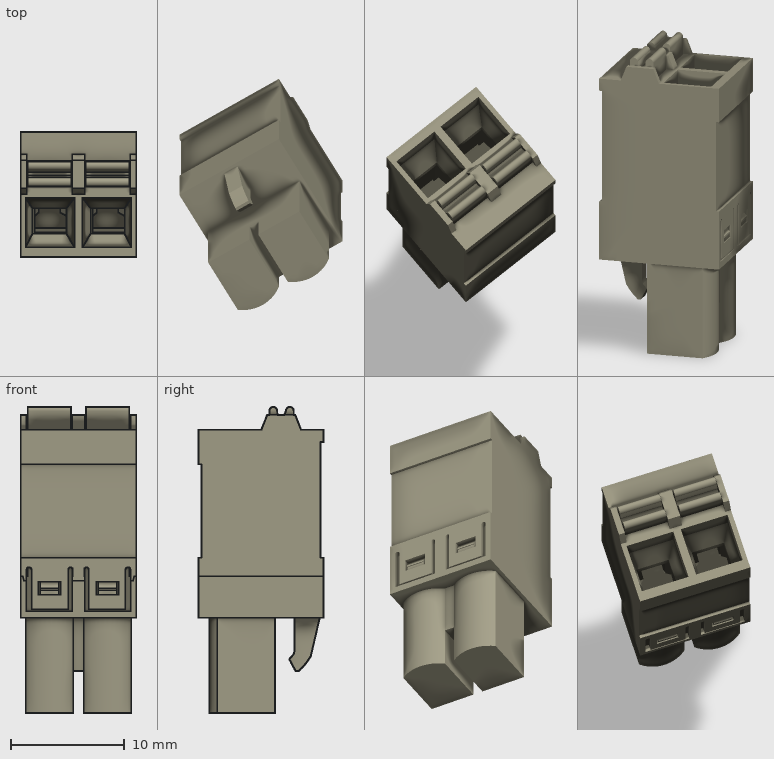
import cadquery as cq


WIDTH = 10.17
POLE_OFFSET = 2.55
POLE_CENTERS = (-POLE_OFFSET, POLE_OFFSET)

HOUSING_BOTTOM = 8.37
LIP_BOTTOM = 11.63
PARTING = 12.03
BAND_TOP = 13.67
FRONT_RIM_BOTTOM = 21.85
REAR_RIM_BOTTOM = 23.82
HOUSING_TOP = 24.92
RIDGE_TOP = 26.2
BUTTON_TOP = 26.9

DEPTH = 11.0
FRONT = -DEPTH / 2
REAR = DEPTH / 2
WAIST_INSET = 0.27

RIDGE_FOOT_FRONT = 0.03
RIDGE_FOOT_REAR = 3.53
RIDGE_CREST_FRONT = 0.55
RIDGE_CREST_REAR = 3.01

BUTTON_WIDTH = 3.82
BUTTON_FRONT = 0.73
BUTTON_REAR = 2.88
BUTTON_BOTTOM = 20.45
BUTTON_GAP = 0.08
WELL_FRONT = 0.7
WELL_REAR = 3.0
BUMP_WIDTH = 0.7
BUMP_RADIUS = BUMP_WIDTH / 2
GROOVE_BOTTOM = 25.75
GROOVE_LEDGE_WIDTH = 0.2
GROOVE_LEDGE_Z = 25.78
GROOVE_FRONT_RUN = 0.08
GROOVE_WALL_RUN = 0.22
GROOVE_WALL_BOTTOM = 26.0

ENTRY_OFFSET = 2.5
ENTRY_WIDTH = 4.3
ENTRY_FRONT = -4.65
ENTRY_REAR = -0.3
ENTRY_STRAIGHT = 2.42
FUNNEL_DEPTH = 2.55
THROAT_WIDTH = 3.0
THROAT_FRONT = -3.45
THROAT_REAR = -1.2

CHAMBER_TOP = 19.1
CHAMBER_WIDTH = 3.23
CHAMBER_FRONT = -3.77
CHAMBER_REAR = 0.27

LIP_TOP_WIDTH = 9.8
LIP_BOTTOM_WIDTH = 9.58

TAB_OFFSET = 2.5
TAB_WIDTH = 3.23
TAB_THICKNESS = 0.55
TAB_BOTTOM = 9.12
SLOT_TOP = 12.8
NOTCH_BOTTOM = 8.95
NOTCH_WIDTH = 4.04
BACKING_WIDTH = 3.95
BACKING_THICKNESS = 0.4
BACKING_TOP = 13.08
WINDOW_WIDTH = 2.0
WINDOW_BOTTOM = 10.4
WINDOW_TOP = 11.55

CATCH_WIDTH = 1.65
CATCH_RIB = 0.43
CATCH_REACH = 0.5
CATCH_SLOPE_BOTTOM = 10.95
CATCH_BOTTOM = 10.8

STUD_WIDTH = 4.2
STUD_REAR = 1.25
STUD_SIDE_FRONT = -3.85
STUD_NOSE = -4.57
WEB_BOTTOM = 3.7
LATCH_WIDTH = 1.35
LATCH_REAR_ROOT = 5.17
LATCH_FRONT_FACE = 2.93
LATCH_BACK_START = (4.39, 5.0)
LATCH_BACK_MIDDLE = (3.9, 4.3)
LATCH_TIP_REAR = 3.3
LATCH_TIP_FRONT = 3.05
LATCH_BARB = (2.48, 4.74)
LATCH_THROAT = (2.85, 5.17)
LATCH_THROAT_MIDDLE = (2.9, 5.33)
LATCH_THROAT_TOP = 5.55

CLAMP_LEFT = 1.3
CLAMP_RIGHT = 1.5

CONTACT_FLOOR = 0.32
CONTACT_STOP_TOP = 14.0
CONTACT_STOP_REAR = -2.95
CONTACT_CHAMFER = 0.35

SPRING_THICKNESS = 0.22
SPRING_TOP = 18.57
SPRING_TIP_Y = -2.93
SPRING_TIP_Z = 16.95
SPRING_NECK_WIDTH = 1.88
NECK_END = -1.6
SHOULDER_END = -1.88


def box(x_range, y_range, z_range):
    """A block spanning the given ranges."""
    size = [high - low for low, high in (x_range, y_range, z_range)]
    corner = (x_range[0], y_range[0], z_range[0])
    return cq.Workplane("XY").box(*size, centered=False).translate(corner)


def pole_box(center, width, y_range, z_range):
    """A block centred on X = center."""
    return box((center - width / 2, center + width / 2), y_range, z_range)


def extrude_along_x(outline, x_low, x_high):
    """Extrude a closed YZ outline between two X positions."""
    return outline.extrude(x_high - x_low).translate((x_low, 0, 0))


def yz_polygon(points):
    """A closed straight-sided YZ outline."""
    return cq.Workplane("YZ").polyline(points).close()


def lip_block():
    """The tapered lip along the parting plane, running front to rear."""
    points = [
        (-LIP_TOP_WIDTH / 2, PARTING),
        (-LIP_BOTTOM_WIDTH / 2, LIP_BOTTOM),
        (LIP_BOTTOM_WIDTH / 2, LIP_BOTTOM),
        (LIP_TOP_WIDTH / 2, PARTING),
    ]
    lip = cq.Workplane("XZ").polyline(points).close().extrude(DEPTH)
    return lip.translate((0, REAR, 0))


def wire_entry(side):
    """Straight square mouth, funnel, throat and clamp chamber of one pole."""
    mouth_center = side * ENTRY_OFFSET
    throat_center = side * POLE_OFFSET
    funnel_top = HOUSING_TOP - ENTRY_STRAIGHT
    funnel_bottom = funnel_top - FUNNEL_DEPTH
    mouth_y = (ENTRY_FRONT, ENTRY_REAR)
    throat_y = (THROAT_FRONT, THROAT_REAR)
    mouth = pole_box(mouth_center, ENTRY_WIDTH, mouth_y, (funnel_top, HOUSING_TOP))
    funnel = (
        cq.Workplane("XY", origin=(0, 0, funnel_top))
        .center(mouth_center, sum(mouth_y) / 2)
        .rect(ENTRY_WIDTH, ENTRY_REAR - ENTRY_FRONT)
        .workplane(offset=-FUNNEL_DEPTH)
        .center(throat_center - mouth_center, (sum(throat_y) - sum(mouth_y)) / 2)
        .rect(THROAT_WIDTH, THROAT_REAR - THROAT_FRONT)
        .loft(ruled=True)
    )
    throat = pole_box(throat_center, THROAT_WIDTH, throat_y, (CHAMBER_TOP, funnel_bottom))
    chamber_y = (CHAMBER_FRONT, CHAMBER_REAR)
    chamber = pole_box(throat_center, CHAMBER_WIDTH, chamber_y, (LIP_BOTTOM, CHAMBER_TOP))
    return mouth.union(funnel).union(throat).union(chamber)


def button_well(center):
    """Well for one button, open through the ridge over its whole depth."""
    width = BUTTON_WIDTH + 2 * BUTTON_GAP
    well = pole_box(center, width, (WELL_FRONT, WELL_REAR), (BUTTON_BOTTOM, RIDGE_TOP))
    ridge_y = (RIDGE_FOOT_FRONT, RIDGE_FOOT_REAR)
    return well.union(pole_box(center, width, ridge_y, (HOUSING_TOP, RIDGE_TOP)))


def tab(side):
    """Tongue hanging from the upper housing, with a window for its catch."""
    center = side * TAB_OFFSET
    tab_y = (FRONT, FRONT + TAB_THICKNESS)
    tongue = pole_box(center, TAB_WIDTH, tab_y, (TAB_BOTTOM, LIP_BOTTOM))
    window = pole_box(side * POLE_OFFSET, WINDOW_WIDTH, tab_y, (WINDOW_BOTTOM, WINDOW_TOP))
    return tongue.cut(window)


def tab_slots(side):
    """Round-topped slots beside one tab, reaching from the notch edges to the tab."""
    slots = cq.Workplane("XY")
    slot_y = (FRONT, FRONT + TAB_THICKNESS)
    for edge in (-1, 1):
        tab_edge = side * TAB_OFFSET + edge * TAB_WIDTH / 2
        notch_edge = side * POLE_OFFSET + edge * NOTCH_WIDTH / 2
        width = abs(notch_edge - tab_edge)
        center = (notch_edge + tab_edge) / 2
        arc_center = SLOT_TOP - width / 2
        straight = pole_box(center, width, slot_y, (LIP_BOTTOM, arc_center))
        end = (
            cq.Workplane("XZ", origin=(center, FRONT, arc_center))
            .circle(width / 2)
            .extrude(-TAB_THICKNESS)
        )
        slots = slots.union(straight).union(end)
    return slots


def tab_backing(side):
    """Plate of the lower housing that rises behind one tab into the upper housing."""
    plate_front = FRONT + TAB_THICKNESS
    plate_y = (plate_front, plate_front + BACKING_THICKNESS)
    lower = pole_box(side * POLE_OFFSET, NOTCH_WIDTH, plate_y, (LIP_BOTTOM, PARTING))
    upper = pole_box(side * TAB_OFFSET, BACKING_WIDTH, plate_y, (PARTING, BACKING_TOP))
    return lower.union(upper)


def make_upper_housing():
    waist_front = FRONT + WAIST_INSET
    waist_rear = REAR - WAIST_INSET
    outline = [
        (FRONT, PARTING),
        (FRONT, BAND_TOP),
        (waist_front, BAND_TOP),
        (waist_front, FRONT_RIM_BOTTOM),
        (FRONT, FRONT_RIM_BOTTOM),
        (FRONT, HOUSING_TOP),
        (RIDGE_FOOT_FRONT, HOUSING_TOP),
        (RIDGE_CREST_FRONT, RIDGE_TOP),
        (RIDGE_CREST_REAR, RIDGE_TOP),
        (RIDGE_FOOT_REAR, HOUSING_TOP),
        (REAR, HOUSING_TOP),
        (REAR, REAR_RIM_BOTTOM),
        (waist_rear, REAR_RIM_BOTTOM),
        (waist_rear, BAND_TOP),
        (REAR, BAND_TOP),
        (REAR, PARTING),
    ]
    housing = extrude_along_x(yz_polygon(outline), -WIDTH / 2, WIDTH / 2)
    housing = housing.union(lip_block())
    for side in (-1, 1):
        housing = housing.cut(tab_slots(side)).cut(tab_backing(side))
        housing = housing.union(tab(side))
        housing = housing.cut(wire_entry(side)).cut(button_well(side * POLE_OFFSET))
    return housing


def catch(center):
    """Vertical rib with a wedge at its top that hooks into the tab window."""
    wall = FRONT + TAB_THICKNESS
    outline = [
        (wall, WINDOW_TOP),
        (wall - CATCH_REACH, CATCH_SLOPE_BOTTOM),
        (wall - CATCH_REACH, CATCH_BOTTOM),
        (wall - CATCH_RIB, CATCH_BOTTOM),
        (wall - CATCH_RIB, WINDOW_BOTTOM),
        (wall, WINDOW_BOTTOM),
    ]
    half = CATCH_WIDTH / 2
    return extrude_along_x(yz_polygon(outline), center - half, center + half)


def stud(center):
    """Plug stud with flat sides and a bowed front."""
    half = STUD_WIDTH / 2
    return (
        cq.Workplane("XY")
        .moveTo(center - half, STUD_REAR)
        .lineTo(center - half, STUD_SIDE_FRONT)
        .threePointArc((center, STUD_NOSE), (center + half, STUD_SIDE_FRONT))
        .lineTo(center + half, STUD_REAR)
        .close()
        .extrude(HOUSING_BOTTOM)
    )


def latch():
    """Hooked latch arm behind the studs."""
    outline = (
        cq.Workplane("YZ")
        .moveTo(LATCH_REAR_ROOT, HOUSING_BOTTOM)
        .lineTo(*LATCH_BACK_START)
        .threePointArc(LATCH_BACK_MIDDLE, (LATCH_TIP_REAR, WEB_BOTTOM))
        .lineTo(LATCH_TIP_FRONT, WEB_BOTTOM)
        .lineTo(*LATCH_BARB)
        .lineTo(*LATCH_THROAT)
        .threePointArc(LATCH_THROAT_MIDDLE, (LATCH_FRONT_FACE, LATCH_THROAT_TOP))
        .lineTo(LATCH_FRONT_FACE, HOUSING_BOTTOM)
        .close()
    )
    return extrude_along_x(outline, -LATCH_WIDTH / 2, LATCH_WIDTH / 2)


def make_lower_housing():
    housing = pole_box(0, WIDTH, (FRONT, REAR), (HOUSING_BOTTOM, PARTING)).cut(lip_block())
    notch_y = (FRONT, FRONT + TAB_THICKNESS)
    for side in (-1, 1):
        center = side * POLE_OFFSET
        housing = housing.cut(pole_box(center, NOTCH_WIDTH, notch_y, (NOTCH_BOTTOM, PARTING)))
        housing = housing.union(tab_backing(side)).union(catch(center)).union(stud(center))
    web_width = 2 * POLE_OFFSET - STUD_WIDTH
    web = pole_box(0, web_width, (STUD_SIDE_FRONT, STUD_REAR), (WEB_BOTTOM, HOUSING_BOTTOM))
    return housing.union(web).union(latch())


def make_button(center):
    """Push button with two round-topped bumps and a groove between them."""
    dome_base = BUTTON_TOP - BUMP_RADIUS
    front_bump_rear = BUTTON_FRONT + BUMP_WIDTH
    rear_bump_front = BUTTON_REAR - BUMP_WIDTH
    ledge_front = front_bump_rear + GROOVE_FRONT_RUN
    ledge_rear = ledge_front + GROOVE_LEDGE_WIDTH
    wall_foot = rear_bump_front - GROOVE_WALL_RUN
    groove_middle = (ledge_rear + wall_foot) / 2
    outline = (
        cq.Workplane("YZ")
        .moveTo(BUTTON_FRONT, BUTTON_BOTTOM)
        .lineTo(BUTTON_FRONT, dome_base)
        .threePointArc((BUTTON_FRONT + BUMP_RADIUS, BUTTON_TOP), (front_bump_rear, dome_base))
        .lineTo(ledge_front, GROOVE_LEDGE_Z)
        .lineTo(ledge_rear, GROOVE_LEDGE_Z)
        .threePointArc((groove_middle, GROOVE_BOTTOM), (wall_foot, GROOVE_WALL_BOTTOM))
        .lineTo(rear_bump_front, dome_base)
        .threePointArc((BUTTON_REAR - BUMP_RADIUS, BUTTON_TOP), (BUTTON_REAR, dome_base))
        .lineTo(BUTTON_REAR, BUTTON_BOTTOM)
        .close()
    )
    return extrude_along_x(outline, center - BUTTON_WIDTH / 2, center + BUTTON_WIDTH / 2)


def make_contact(center):
    """Floor plate of the chamber with a chamfered wire stop along its front."""
    floor_top = LIP_BOTTOM + CONTACT_FLOOR
    outline = [
        (CHAMBER_FRONT, LIP_BOTTOM),
        (CHAMBER_REAR, LIP_BOTTOM),
        (CHAMBER_REAR, floor_top),
        (CONTACT_STOP_REAR, floor_top),
        (CONTACT_STOP_REAR, CONTACT_STOP_TOP - CONTACT_CHAMFER),
        (CONTACT_STOP_REAR - CONTACT_CHAMFER, CONTACT_STOP_TOP),
        (CHAMBER_FRONT, CONTACT_STOP_TOP),
    ]
    return extrude_along_x(yz_polygon(outline), center - CLAMP_LEFT, center + CLAMP_RIGHT)


def make_spring(center):
    """Bent strip: a leg up the rear wall and a blade sloping down toward the wire stop."""
    floor_top = LIP_BOTTOM + CONTACT_FLOOR
    outline = [
        (CHAMBER_REAR, floor_top),
        (CHAMBER_REAR, SPRING_TOP),
        (CHAMBER_REAR - SPRING_THICKNESS, SPRING_TOP),
        (SPRING_TIP_Y, SPRING_TIP_Z),
        (SPRING_TIP_Y, SPRING_TIP_Z - SPRING_THICKNESS),
        (CHAMBER_REAR - SPRING_THICKNESS, SPRING_TOP - 2 * SPRING_THICKNESS),
        (CHAMBER_REAR - SPRING_THICKNESS, floor_top),
    ]
    strip = extrude_along_x(yz_polygon(outline), center - CLAMP_LEFT, center + CLAMP_RIGHT)
    neck = SPRING_NECK_WIDTH / 2
    plan = [
        (center - neck, CHAMBER_REAR),
        (center - neck, NECK_END),
        (center - CLAMP_LEFT, SHOULDER_END),
        (center - CLAMP_LEFT, SPRING_TIP_Y),
        (center + CLAMP_RIGHT, SPRING_TIP_Y),
        (center + CLAMP_RIGHT, SHOULDER_END),
        (center + neck, NECK_END),
        (center + neck, CHAMBER_REAR),
    ]
    return strip.intersect(cq.Workplane("XY").polyline(plan).close().extrude(BUTTON_TOP))


upper_housing = make_upper_housing()
lower_housing = make_lower_housing()
bodies = [upper_housing.val(), lower_housing.val()]
for pole_center in POLE_CENTERS:
    bodies.append(make_button(pole_center).val())
    bodies.append(make_contact(pole_center).val())
    bodies.append(make_spring(pole_center).val())

result = cq.Compound.makeCompound(bodies)